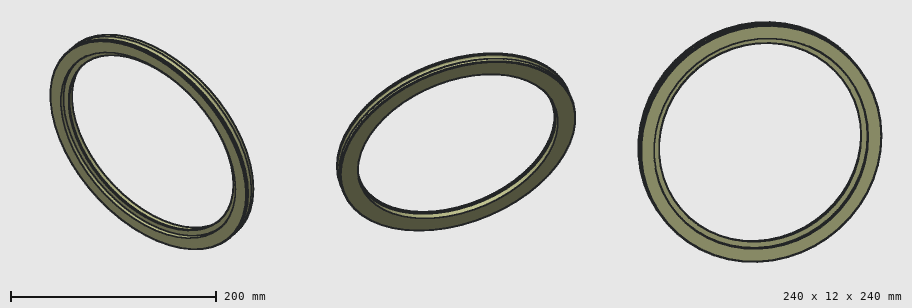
import cadquery as cq

outer_diameter = 240.0
thickness = 12.0
bore_diameter = 201.0
counterbore_diameter = 213.0
counterbore_depth = 4.3
rear_recess_diameter = 203.8
rear_recess_depth = 6.0
edge_chamfer = 0.7
groove_floor_diameter = 235.0
groove_offset = 5.3

outer_radius = outer_diameter / 2
front_y = -thickness / 2
rear_y = thickness / 2
groove_radius = (outer_diameter - groove_floor_diameter) / 2


def disc(diameter, start_y, length):
    """Cylinder about the Y axis, running toward +Y from start_y."""
    return (
        cq.Workplane("XZ", origin=(0, start_y, 0))
        .circle(diameter / 2)
        .extrude(-length)
    )


def rim_groove():
    """Half-round groove running around the outer rim."""
    return (
        cq.Workplane("XY")
        .center(outer_radius, front_y + groove_offset)
        .circle(groove_radius)
        .revolve(360, (-outer_radius, 0, 0), (-outer_radius, 1, 0))
    )


body = disc(outer_diameter, front_y, thickness).edges().chamfer(edge_chamfer)
bore = disc(bore_diameter, front_y, thickness)
counterbore = disc(counterbore_diameter, front_y, counterbore_depth)
rear_recess = disc(rear_recess_diameter, rear_y - rear_recess_depth, rear_recess_depth)

result = body.cut(bore).cut(counterbore).cut(rear_recess).cut(rim_groove())